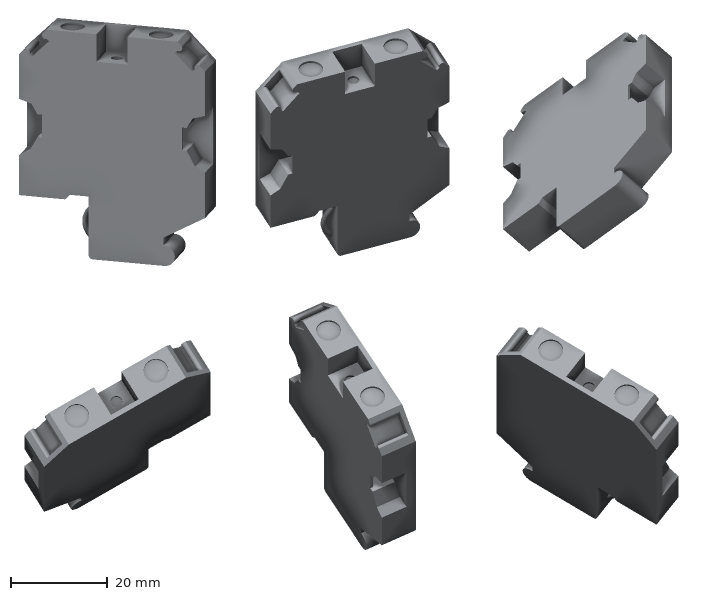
import cadquery as cq
import math

width = 40.0
thickness = 8.0
height = 49.0
corner_chamfer = 5.95

left_bottom = 12.5
step_start = 9.9
step_height = 1.1
foot_left = 14.95
foot_corner_radius = 0.9
lobe_right = 33.45
lobe_height = 4.4
lobe_radius = lobe_height / 2
neck_x = 31.0
neck_top = 6.12
right_bottom = 11.2

pocket_width = 6.6
pocket_depth = 6.0
pocket_reach = 6.95
hole_y = 3.55
screw_diameter = 5.1
screw_spacing = 19.0
screw_depth = 0.5
test_hole_diameter = 2.45
test_hole_depth = 0.5

marker_length = 5.25
marker_depth = 2.15
bead_height = 1.4
bead_bulge = 0.5
upper_mouth_flare = 0.15
marker_shift = 0.2

entry_bottom = 21.1
entry_lower_x = 2.15
entry_lower_z = 22.2
entry_floor_x = 3.95
entry_upper_x = 2.7
entry_upper_z = 32.6
entry_top = 33.4
entry_reach_outer = 5.8
entry_reach_inner = 5.2
wire_bottom = 25.5
wire_top = 30.45
wire_front_wall = 0.6
wire_window_end = 4.95
wire_end = 10.8

loop_radius = 4.2
loop_wire_radius = 0.65
loop_x = 17.5
loop_y = 3.35
loop_z = 6.95
loop_tilt = 4.0


def extrude_back(outline, depth):
    """Extrude a closed XZ outline backward from the front face."""
    return outline.extrude(-depth)


def mirror_side(shape):
    """Mirror a left-hand feature about the middle of the width."""
    return shape.translate((-width / 2, 0, 0)).mirror("YZ").translate((width / 2, 0, 0))


def make_body():
    outline = (
        cq.Workplane("XZ")
        .moveTo(0, left_bottom)
        .lineTo(step_start, left_bottom)
        .lineTo(step_start + step_height, left_bottom + step_height)
        .lineTo(foot_left, left_bottom + step_height)
        .lineTo(foot_left, foot_corner_radius)
        .radiusArc((foot_left + foot_corner_radius, 0), -foot_corner_radius)
        .lineTo(lobe_right - lobe_radius, 0)
        .threePointArc((lobe_right, lobe_radius), (lobe_right - lobe_radius, lobe_height))
        .lineTo(neck_x, lobe_height)
        .lineTo(neck_x, neck_top)
        .lineTo(width, right_bottom)
        .lineTo(width, height - corner_chamfer)
        .lineTo(width - corner_chamfer, height)
        .lineTo(corner_chamfer, height)
        .lineTo(0, height - corner_chamfer)
        .close()
    )
    return extrude_back(outline, thickness)


def make_marker_pocket():
    """Pocket normal to the left slope, narrowed by a round bead on each end wall.

    The pocket sits slightly up the slope, and its upper bead flares at the mouth.
    """
    half = marker_length / 2
    outline = (
        cq.Workplane("XZ")
        .moveTo(-half, 0)
        .threePointArc((-half + bead_bulge, -bead_height / 2), (-half, -bead_height))
        .lineTo(-half, -marker_depth)
        .lineTo(half, -marker_depth)
        .lineTo(half, -bead_height)
        .threePointArc((half - bead_bulge, -bead_height / 2), (half + upper_mouth_flare, 0))
        .close()
    )
    slope_middle = (corner_chamfer / 2, 0, height - corner_chamfer / 2)
    pocket = extrude_back(outline, pocket_reach).translate((marker_shift, 0, 0))
    return pocket.rotate((0, 0, 0), (0, 1, 0), -45).translate(slope_middle)


def make_wire_entry():
    """Funnel with a tapering back wall, leading into a rectangular wire hole."""
    funnel_outline = cq.Workplane("XZ").polyline([
        (0, entry_bottom),
        (entry_lower_x, entry_lower_z),
        (entry_floor_x, wire_bottom),
        (entry_floor_x, wire_top),
        (entry_upper_x, entry_upper_z),
        (0, entry_top),
    ]).close()
    taper = (
        cq.Workplane("XY")
        .polyline([
            (0, 0),
            (entry_floor_x, 0),
            (entry_floor_x, entry_reach_inner),
            (0, entry_reach_outer),
        ])
        .close()
        .extrude(height)
    )
    funnel = extrude_back(funnel_outline, entry_reach_outer).intersect(taper)

    wire_height = wire_top - wire_bottom
    window = cq.Workplane("XY").box(
        wire_window_end - entry_floor_x, entry_reach_inner, wire_height, centered=False
    ).translate((entry_floor_x, 0, wire_bottom))
    hole = cq.Workplane("XY").box(
        wire_end - entry_floor_x, entry_reach_inner - wire_front_wall, wire_height, centered=False
    ).translate((entry_floor_x, wire_front_wall, wire_bottom))
    return funnel.union(window).union(hole)


def make_top_pocket():
    return cq.Workplane("XY").box(
        pocket_width, pocket_reach, pocket_depth, centered=False
    ).translate(((width - pocket_width) / 2, 0, height - pocket_depth))


def make_top_hole(x, top, diameter, depth):
    return cq.Workplane("XY", origin=(x, hole_y, top)).circle(diameter / 2).extrude(-depth)


def make_loop():
    """Round wire ring, leaning slightly forward, whose right part is buried in the foot."""
    tilt = math.radians(loop_tilt)
    axis = cq.Vector(0, math.cos(tilt), math.sin(tilt))
    ring = cq.Solid.makeTorus(loop_radius, loop_wire_radius, cq.Vector(loop_x, loop_y, loop_z), axis)
    outside_foot = cq.Workplane("XY").box(foot_left + foot_corner_radius, thickness, height, centered=False)
    return cq.Workplane(obj=ring).intersect(outside_foot)


result = make_body().cut(make_top_pocket())
for left_feature in (make_marker_pocket(), make_wire_entry()):
    result = result.cut(left_feature).cut(mirror_side(left_feature))
for side in (-1, 1):
    screw_x = width / 2 + side * screw_spacing / 2
    result = result.cut(make_top_hole(screw_x, height, screw_diameter, screw_depth))
result = result.cut(make_top_hole(width / 2, height - pocket_depth, test_hole_diameter, test_hole_depth))
result = result.union(make_loop())